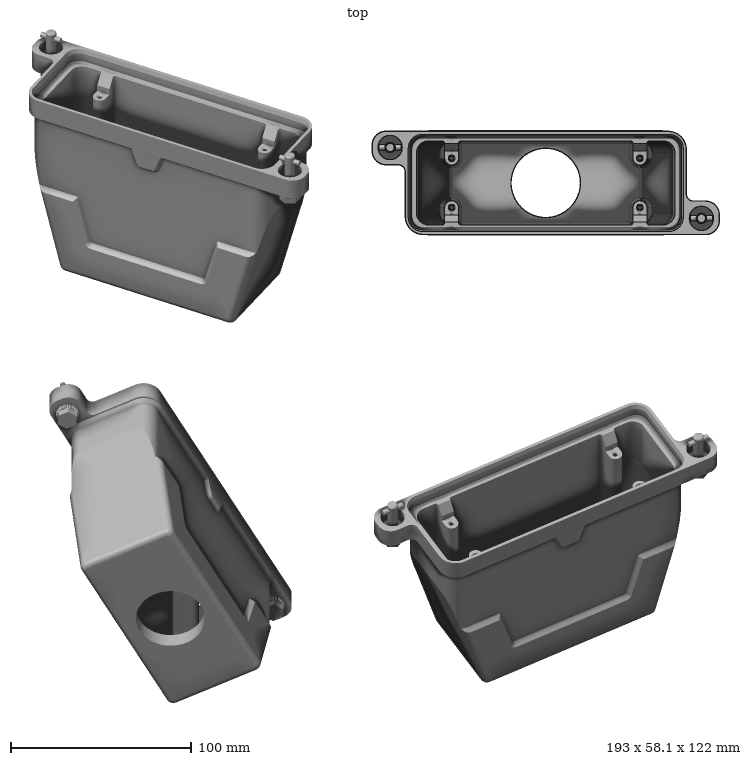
import cadquery as cq
import math

flange_bottom = 99.2
flange_top = 111.4
overall_height = 122.0

body_half_x = 75.0
body_half_y = 26.54
body_corner = 8.7
slope_top_z = 76.5
bottom_half_x = 54.8
lean = (body_half_x - bottom_half_x) / slope_top_z

skirt_half_y = 29.05
skirt_rise = skirt_half_y - body_half_y
skirt_side_fillet = 4.0
skirt_bottom_fillet = 3.5
skirt_shoulder_z = 52.9
skirt_notch_z = 24.5
notch_half_top = 44.0
notch_half_bottom = 35.9
notch_corner = 1.4

flange_half_x = 78.2
flange_half_y = 28.8
flange_corner = 10.5
collar_step = 2.1
lug_reach = 96.5
lug_inner_y = 10.0
lug_corner = 7.7
lug_root_fillet = 3.9

tab_half_top = 11.4
tab_half_bottom = 6.5
tab_half_y = 28.5
tab_bottom_z = 86.3
tab_corner = 3.9

recess_half_x = 76.5
recess_half_y = 27.0
recess_corner = 8.1
recess_lead_in = 1.0
recess_lead_in_depth = 2.5
ledge_z = 102.9
recess_base_bevel = 1.0

cavity_half_x = 71.8
cavity_half_y = 23.4
cavity_corner = 6.8
turn_top_half_x = 70.3
turn_top_z = 72.2
turn_bottom_half_x = 69.5
turn_bottom_z = 68.7
floor_z = 9.6
floor_half_x = 53.5
floor_fillet = 1.5
cable_hole_radius = 19.2

post_x = 52.3
post_y = 13.7
post_radius = 3.9
post_top_z = 93.2
post_hole_radius = 1.2
post_hole_bevel = 0.68
post_hole_depth = 9.6
gusset_tip_y = 17.8
gusset_root_y = 21.8
gusset_tip_z = 97.0
post_fillet = 1.5

deep_z = -19.3
foot_limit_z = 29.0
margin = 0.2

screw_x = 86.5
screw_y = 19.7
lug_hole_radius = 6.8
lug_hole_floor = 2.9
shank_radius = 2.9
shank_chamfer = 0.5
cross_pin_radius = 1.5
cross_pin_length = 12.4
cross_pin_z = 118.1
washer_radius = 6.27
washer_root_radius = 5.6
washer_teeth = 24
washer_bottom_z = 96.3
head_bottom_z = 92.3
head_across_flats = 10.2


def rounded_box(half_x, half_y, corner, z_low, z_high):
    box = cq.Workplane("XY").workplane(offset=z_low).rect(2 * half_x, 2 * half_y).extrude(z_high - z_low)
    return box.edges("|Z").fillet(corner)


def rounded_taper(low_half_x, low_half_y, low_corner, z_low, z_high, growth):
    """Rounded box whose sides move outward by growth (inward if negative) going up."""
    height = z_high - z_low
    slant = math.degrees(math.atan2(growth, height))
    profile = cq.Sketch().rect(2 * low_half_x, 2 * low_half_y).vertices().fillet(low_corner)
    return cq.Workplane("XY").workplane(offset=z_low).placeSketch(profile).extrude(height, taper=-slant)


def mirrored_prism(right_side, half_depth):
    """Prism along Y from the right half of a profile that is symmetric about X = 0."""
    left_side = [(-x, z) for x, z in reversed(right_side)]
    return cq.Workplane("XZ").polyline(right_side + left_side).close().extrude(half_depth, both=True)


def half_turn(shape):
    return shape.rotate((0, 0, 0), (0, 0, 1), 180)


def leaning_block(z_high, half_depth):
    top_half_x = bottom_half_x + lean * z_high
    return mirrored_prism([(bottom_half_x, 0), (top_half_x, z_high)], half_depth)


def make_body():
    """Upper body; below the shoulder the skirt block forms the whole hood."""
    box = rounded_box(body_half_x, body_half_y, body_corner, skirt_shoulder_z, flange_bottom)
    return box.intersect(leaning_block(flange_bottom, skirt_half_y))


def make_skirt():
    block = leaning_block(skirt_shoulder_z, skirt_half_y)
    block = block.faces(">Y or <Y").edges("not |X").fillet(skirt_side_fillet)
    block = block.faces("<Z").edges().fillet(skirt_bottom_fillet)
    clear_x = flange_half_x
    clear_z = flange_bottom
    outline = [
        (clear_x, clear_z),
        (clear_x, skirt_shoulder_z),
        (notch_half_top, skirt_shoulder_z),
        (notch_half_bottom, skirt_notch_z),
    ]
    outline += [(-x, z) for x, z in reversed(outline)]
    profile = cq.Sketch().polygon(outline + outline[:1]).vertices().fillet(notch_corner)
    plane = cq.Workplane("XZ").workplane(offset=body_half_y)
    clearance = plane.placeSketch(profile).extrude(2 * skirt_rise, taper=-45)
    return block.cut(clearance).cut(half_turn(clearance))


def make_flange():
    flange = rounded_box(flange_half_x, flange_half_y, flange_corner, flange_bottom, flange_top)
    lug = (
        cq.Workplane("XY").workplane(offset=flange_bottom)
        .moveTo(-body_half_x + body_corner, flange_half_y)
        .lineTo(-lug_reach, flange_half_y)
        .lineTo(-lug_reach, lug_inner_y)
        .lineTo(-flange_half_x, lug_inner_y)
        .lineTo(-flange_half_x, 0)
        .lineTo(-body_half_x + body_corner, 0)
        .close()
        .extrude(flange_top - flange_bottom)
    )
    lug = lug.edges("|Z and <X").fillet(lug_corner)
    root = cq.selectors.NearestToPointSelector((-flange_half_x, lug_inner_y, flange_top))
    lug = lug.edges("|Z").edges(root).fillet(lug_root_fillet)
    collar = rounded_taper(
        body_half_x, body_half_y, body_corner, flange_bottom - collar_step, flange_bottom, collar_step
    )
    return flange.union(lug).union(half_turn(lug)).union(collar)


def make_tab():
    tab = mirrored_prism([(tab_half_bottom, tab_bottom_z), (tab_half_top, flange_bottom)], tab_half_y)
    tab = tab.edges("|Y and <Z").fillet(tab_corner)
    bevel = tab_half_y - body_half_y
    return tab.faces(">Y or <Y").edges("not >Z").chamfer(bevel)


def make_recess():
    wall_x = recess_half_x - recess_lead_in
    wall_y = recess_half_y - recess_lead_in
    wall_corner = recess_corner - recess_lead_in
    wall = rounded_box(wall_x, wall_y, wall_corner, ledge_z, flange_top)
    wall = wall.faces("<Z").edges().chamfer(recess_base_bevel)
    lead_in = rounded_taper(
        wall_x, wall_y, wall_corner, flange_top - recess_lead_in_depth, flange_top, recess_lead_in
    )
    return wall.union(lead_in)


def make_post(side_x, side_y):
    """Round-ended post joined to the long wall, with a sloped gusset above it."""
    wall_y = cavity_half_y + 2
    post = (
        cq.Workplane("XY").workplane(offset=deep_z)
        .moveTo(post_x - post_radius, wall_y)
        .lineTo(post_x - post_radius, post_y)
        .threePointArc((post_x, post_y - post_radius), (post_x + post_radius, post_y))
        .lineTo(post_x + post_radius, wall_y)
        .close()
        .extrude(ledge_z - deep_z)
    )
    above = (
        cq.Workplane("YZ")
        .moveTo(0, post_top_z)
        .lineTo(gusset_tip_y, post_top_z)
        .lineTo(gusset_tip_y, gusset_tip_z)
        .lineTo(gusset_root_y, ledge_z)
        .lineTo(0, ledge_z)
        .close()
        .extrude(flange_half_x)
    )
    post = post.cut(above)
    if side_x < 0:
        post = post.mirror("YZ")
    if side_y < 0:
        post = post.mirror("XZ")
    return post


def meets_wall_or_ground(edge):
    """True for edges where a post meets the long wall, the floor or a leaning end."""
    box = edge.BoundingBox()
    beside_post = abs(abs(box.center.x) - post_x) < post_radius + margin and box.xlen < 2 * post_radius + margin
    full_height = box.zmax > ledge_z - margin
    on_wall = max(abs(box.ymin), abs(box.ymax)) > cavity_half_y - margin
    at_foot = box.zmax < foot_limit_z
    return beside_post and (at_foot or (full_height and on_wall and box.zmin < foot_limit_z))


def stand_posts(room):
    for side_x in (-1, 1):
        for side_y in (-1, 1):
            room = room.cut(make_post(side_x, side_y))
    return room.edges().filter(meets_wall_or_ground).fillet(post_fillet)


def make_cavity():
    """Plain cavity, trimmed by a level-floored room and a lean-ended room that carry the posts."""
    end_lean = (turn_bottom_half_x - floor_half_x) / (turn_bottom_z - floor_z)
    deep_half_x = floor_half_x - end_lean * (floor_z - deep_z)
    upper_end = [
        (turn_bottom_half_x, turn_bottom_z),
        (turn_top_half_x, turn_top_z),
        (cavity_half_x, ledge_z),
    ]
    cavity = mirrored_prism([(floor_half_x, floor_z)] + upper_end, cavity_half_y)
    cavity = cavity.edges("not (|X or |Y)").fillet(cavity_corner)
    cavity = cavity.faces("<Z").edges().fillet(floor_fillet)
    level_room = mirrored_prism([(cavity_half_x, floor_z), (cavity_half_x, ledge_z)], cavity_half_y)
    lean_room = mirrored_prism([(deep_half_x, deep_z)] + upper_end, cavity_half_y)
    return cavity.intersect(stand_posts(level_room)).intersect(stand_posts(lean_room))


def make_post_holes():
    plane = cq.Workplane("XY").workplane(offset=post_top_z - post_hole_depth)
    centers = plane.rect(2 * post_x, 2 * post_y, forConstruction=True).vertices()
    holes = centers.circle(post_hole_radius).extrude(post_hole_depth)
    mouths = cq.Workplane("XY").workplane(offset=post_top_z)
    mouths = mouths.rect(2 * post_x, 2 * post_y, forConstruction=True).vertices()
    mouths = mouths.circle(post_hole_radius + post_hole_bevel).extrude(-post_hole_bevel, taper=45)
    return holes.union(mouths)


def make_lug_hole():
    plane = cq.Workplane("XY").workplane(offset=flange_bottom + lug_hole_floor)
    return plane.center(-screw_x, screw_y).circle(lug_hole_radius).extrude(flange_top - flange_bottom)


def make_screw():
    shank = cq.Workplane("XY").workplane(offset=flange_bottom).circle(shank_radius)
    shank = shank.extrude(overall_height - flange_bottom).faces(">Z").edges().chamfer(shank_chamfer)
    cross_pin = cq.Workplane("YZ").center(0, cross_pin_z).circle(cross_pin_radius)
    cross_pin = cross_pin.extrude(cross_pin_length / 2, both=True)
    rim = []
    for i in range(2 * washer_teeth):
        angle = math.pi * i / washer_teeth
        radius = washer_radius if i % 2 == 0 else washer_root_radius
        rim.append((radius * math.cos(angle), radius * math.sin(angle)))
    washer = cq.Workplane("XY").workplane(offset=washer_bottom_z).polyline(rim).close()
    washer = washer.extrude(flange_bottom - washer_bottom_z)
    across_corners = head_across_flats / math.cos(math.pi / 6)
    head = cq.Workplane("XY").workplane(offset=head_bottom_z).polygon(6, across_corners)
    head = head.extrude(washer_bottom_z - head_bottom_z).rotate((0, 0, 0), (0, 0, 1), 90)
    screw = shank.union(cross_pin).union(washer).union(head)
    return screw.translate((-screw_x, screw_y, 0))


lug_hole = make_lug_hole()
screw = make_screw()
cable_hole = cq.Workplane("XY").circle(cable_hole_radius).extrude(flange_bottom)

hood = make_body().union(make_skirt()).union(make_flange()).union(make_tab())
hood = hood.cut(make_recess()).cut(make_cavity()).cut(cable_hole).cut(make_post_holes())
hood = hood.cut(lug_hole).cut(half_turn(lug_hole))
result = hood.union(screw).union(half_turn(screw))